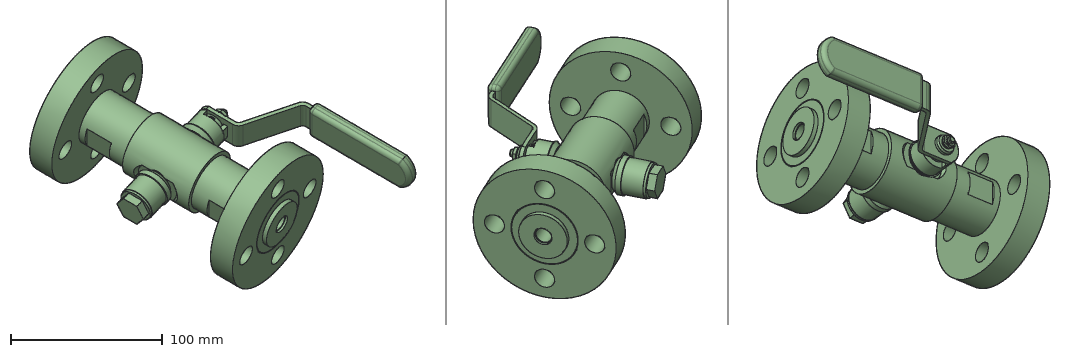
import cadquery as cq
import math


body_length = 173.0
pipe_diameter = 40.0
sleeve_diameter = 46.0
sleeve_length = 54.3
bore_diameter = 11.0
bore_mouth_diameter = 12.5
bore_mouth_depth = 1.8

flat_start = 40.0
flat_end = 60.0
flat_offset = 18.0

flange_diameter = 100.0
flange_thickness = 18.2
raised_face_diameter = 34.0
raised_face_height = 3.3
ring_groove_outer = 47.0
ring_groove_inner = 46.0
ring_groove_depth = 8.8
bolt_hole_diameter = 14.0
bolt_circle_radius = 35.0
bolt_count = 4

seat_offset = 21.0
seat_diameter = 31.3
seat_mouth_diameter = 36.0

boss_diameter = 25.0
collar_diameter = 27.0
cone_root_diameter = 22.0
root_overlap = 2.2
cone_end = 24.0
boss_collar_end = 24.5
plug_collar_end = 28.0
boss_top = 39.8
plug_body_end = 43.4
plug_step_end = 45.0
plug_step_diameter = 24.0
plug_end = 51.0
plug_hex_corners = 22.0

notch_floor = 36.0
notch_left = -4.5
neck_diameter = 16.2
neck_slot_width = 3.7
neck_slot_height = 2.5
neck_slot_depth = 1.0
stop_left = 8.0
stop_right = 11.4
stop_width = 11.0

strap_thickness = 2.8
strap_width = 22.0
strap_low_y = 42.5
strap_high_y = 83.5
strap_slope = math.radians(60)
strap_low_bend_x = 18.6
strap_bend_radius = 5.3

grip_start = 49.3
grip_end = 132.5
grip_thickness = 9.2
grip_height = 28.7
grip_tip_rise = 8.0
grip_fillet = 3.3

washer_diameter = 14.0
washer_top = 47.3
washer_chamfer_height = 1.5
washer_chamfer_width = 0.77
nut_seat_diameter = 7.9
nut_bottom = 48.5
nut_top = 51.2
nut_hex_corners = 10.0
nut_chamfer_height = 0.7
nut_chamfer_width = 1.3
stem_diameter = 5.0
stem_top = 53.6
stem_chamfer = 0.7


def x_cylinder(diameter, start, end):
    return cq.Workplane("YZ", origin=(start, 0, 0)).circle(diameter / 2).extrude(end - start)


def y_revolve(profile):
    """Turn a (radius, y) outline around the stem axis."""
    return cq.Workplane("XY").polyline(profile).close().revolve(360, (0, 0, 0), (0, 1, 0))


def y_hex(corners, start, end, corner_angle):
    """Hexagonal bar along the stem axis, with one corner at corner_angle from X."""
    bar = cq.Workplane("XZ").polygon(6, corners).extrude(-(end - start))
    return bar.rotate((0, 0, 0), (0, 1, 0), corner_angle).translate((0, start, 0))


def box_between(x_range, y_range, z_range):
    size = [high - low for low, high in (x_range, y_range, z_range)]
    corner = (x_range[0], y_range[0], z_range[0])
    return cq.Workplane("XY").box(*size, centered=False).translate(corner)


def make_flange():
    """Flange at the -X end."""
    outer_face = -body_length / 2 + raised_face_height
    flange = x_cylinder(flange_diameter, outer_face, outer_face + flange_thickness)
    groove_end = outer_face + ring_groove_depth
    groove = x_cylinder(ring_groove_outer, outer_face, groove_end)
    groove = groove.cut(x_cylinder(ring_groove_inner, outer_face, groove_end))
    holes = (
        cq.Workplane("YZ", origin=(outer_face, 0, 0))
        .polarArray(bolt_circle_radius, 0, 360, bolt_count)
        .circle(bolt_hole_diameter / 2)
        .extrude(flange_thickness)
    )
    raised_face = x_cylinder(raised_face_diameter, -body_length / 2, outer_face)
    return flange.cut(groove).cut(holes).union(raised_face)


def make_pipe():
    pipe_end = body_length / 2 - raised_face_height - flange_thickness
    pipe = x_cylinder(pipe_diameter, -pipe_end, pipe_end)
    flat_outer = sleeve_diameter / 2
    for x_range in ((-flat_end, -flat_start), (flat_start, flat_end)):
        for y_range in ((-flat_outer, -flat_offset), (flat_offset, flat_outer)):
            pipe = pipe.cut(box_between(x_range, y_range, (-flat_outer, flat_outer)))
    sleeve = x_cylinder(sleeve_diameter, -sleeve_length / 2, sleeve_length / 2)
    sleeve_radius = sleeve_diameter / 2
    seat = y_revolve([
        (0, seat_offset),
        (seat_diameter / 2, seat_offset),
        (seat_mouth_diameter / 2, sleeve_radius),
        (0, sleeve_radius),
    ])
    return pipe.union(sleeve.cut(seat).cut(seat.mirror("XZ")))


def cut_bore(body):
    half = body_length / 2
    body = body.cut(x_cylinder(bore_diameter, -half, half))
    for start, end in ((-half, -half + bore_mouth_depth), (half - bore_mouth_depth, half)):
        body = body.cut(x_cylinder(bore_mouth_diameter, start, end))
    return body


def collared_post(collar_end, body_end):
    """Cone, collar and cylinder rising in +Y from inside the sleeve."""
    root = seat_offset - root_overlap
    return y_revolve([
        (0, root),
        (cone_root_diameter / 2, root),
        (cone_root_diameter / 2, seat_offset),
        (collar_diameter / 2, cone_end),
        (collar_diameter / 2, collar_end),
        (boss_diameter / 2, collar_end),
        (boss_diameter / 2, body_end),
        (0, body_end),
    ])


def make_plug():
    step = y_revolve([
        (0, plug_body_end),
        (plug_step_diameter / 2, plug_body_end),
        (plug_step_diameter / 2, plug_step_end),
        (0, plug_step_end),
    ])
    plug = collared_post(plug_collar_end, plug_body_end).union(step)
    plug = plug.union(y_hex(plug_hex_corners, plug_step_end, plug_end, 0))
    return plug.mirror("XZ")


def make_boss():
    boss = collared_post(boss_collar_end, boss_top)
    reach = boss_diameter / 2
    boss = boss.cut(box_between((notch_left, reach), (notch_floor, boss_top), (-reach, reach)))
    strap_bottom = strap_low_y - strap_thickness / 2
    neck = (
        cq.Workplane("XZ", origin=(0, notch_floor, 0))
        .circle(neck_diameter / 2)
        .extrude(-(strap_bottom - notch_floor))
    )
    neck_slot = box_between(
        (-neck_slot_width / 2, neck_slot_width / 2),
        (boss_top - neck_slot_height, boss_top),
        (neck_diameter / 2 - neck_slot_depth, neck_diameter / 2),
    )
    return boss.union(neck.cut(neck_slot))


def make_strap():
    half = strap_thickness / 2
    high_bend_x = strap_low_bend_x + (strap_high_y - strap_low_y) / math.tan(strap_slope)
    mitre = half * math.tan(strap_slope / 2)

    def bend_corner(x, y, side):
        return (x - side * mitre, y + side * half)

    low_upper = bend_corner(strap_low_bend_x, strap_low_y, 1)
    low_lower = bend_corner(strap_low_bend_x, strap_low_y, -1)
    high_upper = bend_corner(high_bend_x, strap_high_y, 1)
    high_lower = bend_corner(high_bend_x, strap_high_y, -1)
    outline = [
        (0, strap_low_y + half),
        low_upper,
        high_upper,
        (grip_start + grip_fillet, strap_high_y + half),
        (grip_start + grip_fillet, strap_high_y - half),
        high_lower,
        low_lower,
        (0, strap_low_y - half),
    ]
    strap = cq.Workplane("XY").polyline(outline).close().extrude(strap_width / 2, both=True)
    inner_radius = strap_bend_radius - half
    outer_radius = strap_bend_radius + half
    for corner, radius in (
        (low_upper, inner_radius),
        (low_lower, outer_radius),
        (high_upper, outer_radius),
        (high_lower, inner_radius),
    ):
        edge = cq.selectors.NearestToPointSelector((corner[0], corner[1], 0))
        strap = strap.edges("|Z").edges(edge).fillet(radius)

    low_y = strap_low_y - half
    end_disc = cq.Workplane("XZ", origin=(0, low_y, 0)).circle(boss_diameter / 2).extrude(-strap_thickness)
    end_trim = box_between(
        (-boss_diameter / 2, 0),
        (low_y, low_y + strap_thickness),
        (-strap_width / 2, strap_width / 2),
    )
    stop = box_between((stop_left, stop_right), (notch_floor, strap_low_y), (-stop_width / 2, stop_width / 2))
    return strap.union(end_disc.intersect(end_trim)).union(stop)


def make_grip():
    top = grip_height / 2
    shoulder = grip_end - grip_tip_rise
    return (
        cq.Workplane("XZ", origin=(0, strap_high_y + grip_thickness / 2, 0))
        .moveTo(grip_start, -top)
        .lineTo(shoulder, -top)
        .threePointArc((grip_end, 0), (shoulder, top))
        .lineTo(grip_start, top)
        .close()
        .extrude(grip_thickness)
        .faces("<Y or >Y or <X")
        .edges()
        .fillet(grip_fillet)
    )


def make_stem_fastener():
    washer_radius = washer_diameter / 2
    stem_radius = stem_diameter / 2
    stack = y_revolve([
        (0, strap_low_y),
        (washer_radius, strap_low_y),
        (washer_radius, washer_top - washer_chamfer_height),
        (washer_radius - washer_chamfer_width, washer_top),
        (nut_seat_diameter / 2, washer_top),
        (nut_seat_diameter / 2, nut_bottom),
        (stem_radius, nut_bottom),
        (stem_radius, stem_top - stem_chamfer),
        (stem_radius - stem_chamfer, stem_top),
        (0, stem_top),
    ])
    nut_radius = nut_hex_corners / 2
    nut_envelope = y_revolve([
        (0, nut_bottom),
        (nut_radius, nut_bottom),
        (nut_radius, nut_top - nut_chamfer_height),
        (nut_radius - nut_chamfer_width, nut_top),
        (0, nut_top),
    ])
    nut = y_hex(nut_hex_corners, nut_bottom, nut_top, 90)
    return stack.union(nut.intersect(nut_envelope))


flange = make_flange()
body = make_pipe().union(flange).union(flange.mirror("YZ"))
body = cut_bore(body)
handle = make_strap().union(make_grip()).union(make_stem_fastener())
result = body.union(make_plug()).union(make_boss()).union(handle)